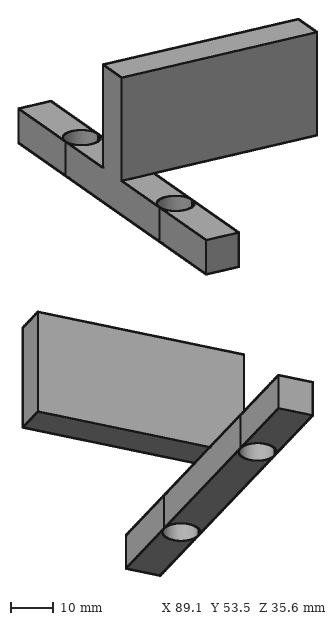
import cadquery as cq

bar_width = 8.9093
bar_length = 10 * bar_width
hole_spacing = bar_length / 2
plate_thickness = bar_width
plate_depth = 6 * bar_width
plate_height = 3 * bar_width

half_length = bar_length / 2
half_width = bar_width / 2
hole_x = hole_spacing / 2
hole_radius = bar_width / 2
inner_hole_side = hole_x - hole_radius
outer_hole_side = hole_x + hole_radius


def make_bar_end(side):
    """End block of the bar, hollowed by the outer half of a hole; side is -1 or +1."""
    return (
        cq.Workplane("XY")
        .moveTo(side * hole_x, -half_width)
        .lineTo(side * half_length, -half_width)
        .lineTo(side * half_length, half_width)
        .lineTo(side * hole_x, half_width)
        .threePointArc((side * outer_hole_side, 0), (side * hole_x, -half_width))
        .close()
        .extrude(bar_width)
    )


def make_bar_middle():
    """Middle of the bar, hollowed at both ends by the inner half of a hole."""
    return (
        cq.Workplane("XY")
        .moveTo(-hole_x, -half_width)
        .lineTo(hole_x, -half_width)
        .threePointArc((inner_hole_side, 0), (hole_x, half_width))
        .lineTo(-hole_x, half_width)
        .threePointArc((-inner_hole_side, 0), (-hole_x, -half_width))
        .close()
        .extrude(bar_width)
    )


def make_plate():
    """Upright plate on top of the bar, flush with its front and overhanging the back."""
    return (
        cq.Workplane("XY")
        .box(plate_thickness, plate_depth, plate_height, centered=(True, False, False))
        .translate((0, -half_width, bar_width))
    )


plate_holder = make_bar_middle().union(make_plate(), clean=False)

bar_ends = [make_bar_end(side).val() for side in (-1, 1)]

result = cq.Compound.makeCompound([plate_holder.solids().val(), *bar_ends])